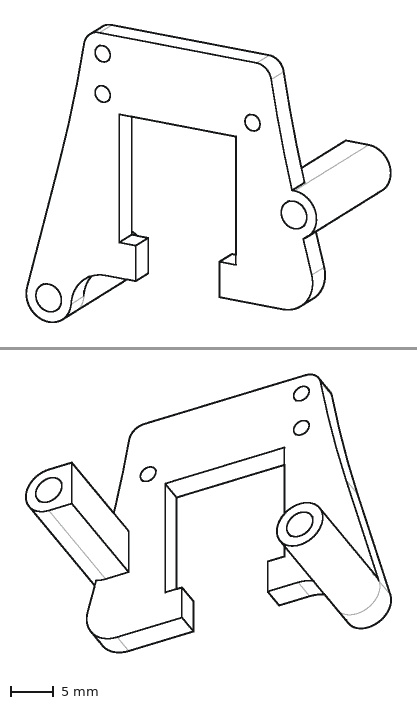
import cadquery as cq
import math


plate_thickness = 3.02
total_depth = 17.8

boss_radius = 6.0 / 2
bore_diameter = 3.4
pin_center = (0, 0)
boss_center = (38.73 - 2 * boss_radius, 16.15)

center_x = 17.2
top_z = 37.15 - boss_radius
bottom_z = 4.15
corner_radius = 2.0
corner_offset = 10.5
lean = math.radians(14.8)
lean_at_top = math.radians(9.6)
bend_z = 16.95
neck_radius = 4.65
heel_radius = 4.0

window_width = 15.57
window_top_z = 24.48
window_bottom_z = 8.55
gap_width = 11.15

screw_diameter = 2.0
screw_spacing = 20.0
screw_z = 26.6
upper_screw_z = 31.6


def mirrored(point):
    """Reflect a point across the upright centre line of the plate."""
    return (2 * center_x - point[0], point[1])


def polar(center, radius, angle):
    return (center[0] + radius * math.cos(angle), center[1] + radius * math.sin(angle))


def cylinder(center, diameter, depth, start=0):
    """Round bar along Y, beginning at Y = start."""
    plane = cq.Workplane("XZ", origin=(0, start, 0))
    return plane.center(*center).circle(diameter / 2).extrude(-depth)


def box_between(x_range, z_range, depth):
    low = (x_range[0], z_range[0])
    high = (x_range[1], z_range[1])
    corners = [low, (high[0], low[1]), high, (low[0], high[1])]
    return cq.Workplane("XZ").polyline(corners).close().extrude(-depth)


def flank_x(z):
    """X of the straight left flank, which is tangent to the pin."""
    return z * math.tan(lean) - boss_radius / math.cos(lean)


def make_plate():
    flank_angle = math.pi - lean
    flank_start = polar(pin_center, boss_radius, flank_angle)
    bend = (flank_x(bend_z), bend_z)
    corner_center = (center_x - corner_offset, top_z - corner_radius)
    corner_angle = math.pi - lean_at_top
    corner_start = polar(corner_center, corner_radius, corner_angle)
    corner_middle = polar(corner_center, corner_radius, (corner_angle + math.pi / 2) / 2)
    corner_end = (corner_center[0], top_z)

    heel_z = bottom_z + heel_radius
    heel_x = mirrored((flank_x(heel_z), heel_z))[0] - heel_radius / math.cos(lean)
    heel_center = (heel_x, heel_z)
    heel_start = polar(heel_center, heel_radius, lean)
    heel_middle = polar(heel_center, heel_radius, (lean - math.pi / 2) / 2)
    heel_end = (heel_x, bottom_z)

    neck_z = bottom_z - neck_radius
    neck_x = math.sqrt((boss_radius + neck_radius) ** 2 - neck_z**2)
    neck_center = (neck_x, neck_z)
    neck_angle = math.atan2(neck_z, neck_x)
    neck_start = (neck_x, bottom_z)
    neck_middle = polar(neck_center, neck_radius, (neck_angle + math.pi + math.pi / 2) / 2)
    neck_end = polar(pin_center, boss_radius, neck_angle)
    pin_bottom = (pin_center[0], pin_center[1] - boss_radius)

    outline = (
        cq.Workplane("XZ")
        .moveTo(*flank_start)
        .lineTo(*bend)
        .tangentArcPoint(corner_start, relative=False)
        .threePointArc(corner_middle, corner_end)
        .lineTo(*mirrored(corner_end))
        .threePointArc(mirrored(corner_middle), mirrored(corner_start))
        .tangentArcPoint(mirrored(bend), relative=False)
        .lineTo(*heel_start)
        .threePointArc(heel_middle, heel_end)
        .lineTo(*neck_start)
        .threePointArc(neck_middle, neck_end)
        .threePointArc(pin_bottom, flank_start)
        .close()
    )
    return outline.extrude(-plate_thickness)


def centered_range(width):
    return (center_x - width / 2, center_x + width / 2)


def make_window():
    window = box_between(centered_range(window_width), (window_bottom_z, window_top_z), plate_thickness)
    gap = box_between(centered_range(gap_width), (bottom_z, window_bottom_z), plate_thickness)
    return window.union(gap)


def make_boss():
    """Round on the outer side, square on the side facing the window."""
    z_range = (boss_center[1] - boss_radius, boss_center[1] + boss_radius)
    square_side = box_between((boss_center[0] - boss_radius, boss_center[0]), z_range, total_depth)
    return cylinder(boss_center, 2 * boss_radius, total_depth).union(square_side)


body = make_plate().cut(make_window())
body = body.union(make_boss())

pin_length = total_depth - plate_thickness
body = body.union(cylinder(pin_center, 2 * boss_radius, pin_length, start=plate_thickness))

for bore_center in (pin_center, boss_center):
    body = body.cut(cylinder(bore_center, bore_diameter, total_depth))

left_screw_x, right_screw_x = centered_range(screw_spacing)
screw_centers = [(left_screw_x, screw_z), (right_screw_x, screw_z), (left_screw_x, upper_screw_z)]
for screw_center in screw_centers:
    body = body.cut(cylinder(screw_center, screw_diameter, plate_thickness))

result = body